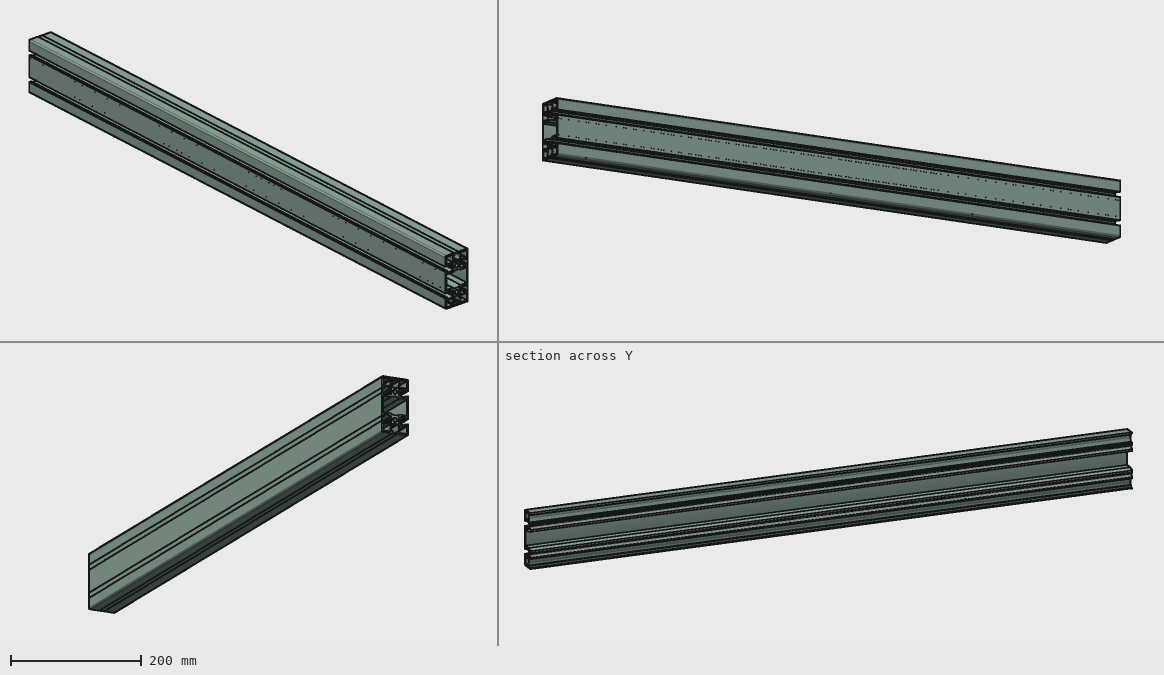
import cadquery as cq

length = 1000.0
width = 45.0
height = 90.0
corner_radius = 2.5

module_half = width / 2
module_offset = height / 4
core_bore_radius = 6.78 / 2

skin = 0.6
lip_thickness = 4.3
lip_inner = module_half - lip_thickness
mouth_half = 4.15
slot_half = 6.75
taper_start = 13.4
floor_distance = 6.75
floor_half = 4.8
groove_half = 1.5
groove_bottom = floor_distance - groove_half

outer_wall = 2.8
web = 1.25
chamber_inner = slot_half + web
chamber_outer = module_half - outer_wall
chamber_size = chamber_outer - chamber_inner
chamber_centre = (chamber_outer + chamber_inner) / 2

central_corner_wall = 2.0
central_middle_wall = 2.7
central_corner_y = module_half - central_corner_wall
central_middle_y = module_half - central_middle_wall
central_edge = 9.5
central_half_height = module_offset - central_edge
central_relief_radius = 15.2

FACING_PLUS_Y = 0
FACING_PLUS_Z = 90
FACING_MINUS_Y = 180
FACING_MINUS_Z = 270


def section():
    """Sketch plane at the -X end, with Y and Z as its axes."""
    return cq.Workplane("YZ", origin=(-length / 2, 0, 0))


def place(body, angle, z):
    """Turn a body about the bar axis, then lift it to a module centre."""
    return body.rotate((0, 0, 0), (1, 0, 0), angle).translate((0, 0, z))


def outer_bar():
    bar = section().rect(width, height).extrude(length)
    return bar.edges("|X").fillet(corner_radius)


def slot(mouth_end):
    """T-slot facing +Y whose mouth ends at the given distance from the module centre."""
    upper_half = [
        (floor_distance, groove_half),
        (floor_distance, floor_half),
        (taper_start, slot_half),
        (lip_inner, slot_half),
        (lip_inner, mouth_half),
        (mouth_end, mouth_half),
    ]
    lower_half = [(y, -z) for y, z in reversed(upper_half)]
    outline = [(groove_bottom, 0)] + upper_half + lower_half
    return section().polyline(outline).close().extrude(length)


def corner_chambers():
    """Square chambers in the four outer corners of the bar."""
    chamber_z = module_offset + chamber_centre
    centres = [(y, z) for y in (-chamber_centre, chamber_centre) for z in (-chamber_z, chamber_z)]
    return section().pushPoints(centres).rect(chamber_size, chamber_size).extrude(length)


def central_chamber():
    """Wide chamber with bowed side walls and a round relief towards each core."""
    y = central_corner_y
    z = central_half_height
    chamber = (
        section()
        .moveTo(-y, z)
        .lineTo(y, z)
        .threePointArc((central_middle_y, 0), (y, -z))
        .lineTo(-y, -z)
        .threePointArc((-central_middle_y, 0), (-y, z))
        .close()
        .extrude(length)
    )
    relief = section().circle(central_relief_radius).extrude(length)
    return chamber.union(relief)


def core_bores():
    """Round bores along the two module centres."""
    centres = [(0, -module_offset), (0, module_offset)]
    return section().pushPoints(centres).circle(core_bore_radius).extrude(length)


result = outer_bar().cut(corner_chambers()).cut(central_chamber()).cut(core_bores())

open_slot = slot(module_half)
covered_slot = slot(module_half - skin)
for module_z, end_facing in ((module_offset, FACING_PLUS_Z), (-module_offset, FACING_MINUS_Z)):
    result = result.cut(place(open_slot, FACING_MINUS_Y, module_z))
    result = result.cut(place(covered_slot, FACING_PLUS_Y, module_z))
    result = result.cut(place(covered_slot, end_facing, module_z))